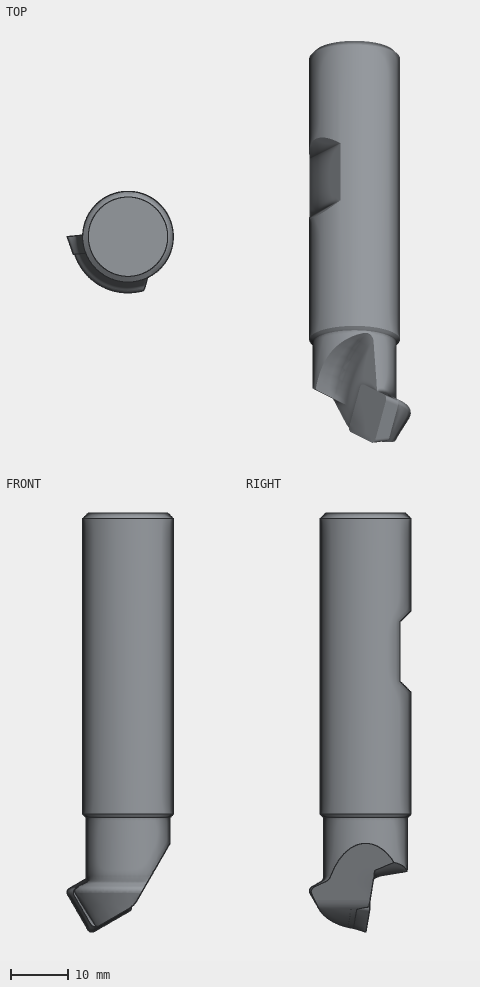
import cadquery as cq
import math

TOTAL_LENGTH = 73.2

SHANK_DIAMETER = 15.87
TOP_CHAMFER = 1.0
SHANK_END_Z = 20.0
SHANK_END_CHAMFER = 0.6
FLAT_DEPTH = 1.9
FLAT_LENGTH = 10.45
FLAT_CENTER_Z = 49.0

SLOPE_ANGLE = 30.0

NECK_DIAMETER = 14.67
RIM_SHARP_RADIUS = 10.13
RIM_SHARP_Z = 7.48
RIM_FILLET = 0.83
NECK_FILLET = 0.94

INSERT_SIZE = 8.7
INSERT_THICKNESS = 3.2
INSERT_RELIEF = 11.0
INSERT_CORNER_RADIUS = RIM_FILLET
INSERT_RAKE = 5.0
INSERT_REACH = 10.64

SLANT_START_Z = 15.5
END_FACE_DROP = 0.5
END_BLEND_RADIUS = 4.0

POCKET_FLOOR_TILT = 9.0
POCKET_FLOOR_DROP = 0.78
POCKET_FLOOR_FILLET = 1.6
POCKET_DEPTH = 12.0
POCKET_RADIUS = 17.0
POCKET_CENTER = (-3.78, -7.24)
RELIEF_HEIGHT = 4.0
RELIEF_DRAFT = 14.5

SEAT_RUNOUT = 2.0

BEYOND = 30.0
PICK_REACH = 0.1

shank_radius = SHANK_DIAMETER / 2
neck_radius = NECK_DIAMETER / 2
slope_sin = math.sin(math.radians(SLOPE_ANGLE))
slope_cos = math.cos(math.radians(SLOPE_ANGLE))
slope_tan = math.tan(math.radians(SLOPE_ANGLE))

corner_loss = INSERT_CORNER_RADIUS * (slope_sin + slope_cos - 1)
tip_x = -INSERT_REACH - corner_loss + INSERT_SIZE * slope_sin
tip_z = -corner_loss


def edge_at(x, z):
    """Selects the edge centered on the XZ plane at the given place."""
    return cq.selectors.BoxSelector(
        (x - PICK_REACH, -PICK_REACH, z - PICK_REACH),
        (x + PICK_REACH, PICK_REACH, z + PICK_REACH),
    )


def tilted_plane(tilt, drop):
    """Plane along the cutting edge, tilted inward about it and dropped along its own normal.

    Local X runs inward from the cutting edge and local Y runs down along it.
    """
    tilt_sin = math.sin(math.radians(tilt))
    tilt_cos = math.cos(math.radians(tilt))
    plane = cq.Plane(
        origin=(tip_x, 0, tip_z),
        xDir=(slope_cos * tilt_cos, tilt_sin, slope_sin * tilt_cos),
        normal=(-slope_cos * tilt_sin, tilt_cos, -slope_sin * tilt_sin),
    )
    plane.origin = plane.toWorldCoords((0, 0, -drop))
    return plane


rake_plane = tilted_plane(INSERT_RAKE, 0)
floor_plane = tilted_plane(POCKET_FLOOR_TILT, POCKET_FLOOR_DROP)


def make_insert():
    half = INSERT_SIZE / 2
    plate = (
        cq.Workplane(rake_plane)
        .center(half, -half)
        .rect(INSERT_SIZE, INSERT_SIZE)
        .extrude(-INSERT_THICKNESS, taper=INSERT_RELIEF)
    )
    along_sides = cq.selectors.ParallelDirSelector
    flank_edges = plate.edges(-(along_sides(rake_plane.xDir) + along_sides(rake_plane.yDir)))
    return flank_edges.fillet(INSERT_CORNER_RADIUS)


def make_shank():
    shank = (
        cq.Workplane("XY", origin=(0, 0, SHANK_END_Z))
        .circle(shank_radius)
        .extrude(TOTAL_LENGTH - SHANK_END_Z)
        .faces(">Z")
        .chamfer(TOP_CHAMFER)
        .faces("<Z")
        .chamfer(SHANK_END_CHAMFER)
    )
    half_length = FLAT_LENGTH / 2
    flat_y = shank_radius - FLAT_DEPTH
    wall_rise = 2 * FLAT_DEPTH
    flat = (
        cq.Workplane("YZ", origin=(0, 0, FLAT_CENTER_Z))
        .polyline([
            (flat_y, -half_length),
            (flat_y, half_length),
            (flat_y + wall_rise, half_length + wall_rise),
            (flat_y + wall_rise, -half_length - wall_rise),
        ])
        .close()
        .extrude(shank_radius, both=True)
    )
    return shank.cut(flat)


def make_neck_and_flange():
    neck_corner_z = RIM_SHARP_Z + (RIM_SHARP_RADIUS - neck_radius) * slope_tan
    tip_radius = RIM_SHARP_RADIUS - RIM_SHARP_Z * slope_tan
    body = (
        cq.Workplane("XZ")
        .moveTo(0, 0)
        .lineTo(tip_radius, 0)
        .lineTo(RIM_SHARP_RADIUS, RIM_SHARP_Z)
        .lineTo(neck_radius, neck_corner_z)
        .lineTo(neck_radius, SHANK_END_Z)
        .lineTo(0, SHANK_END_Z)
        .close()
        .revolve(360, (0, 0, 0), (0, 1, 0))
    )
    rim = edge_at(0, RIM_SHARP_Z)
    neck_corner = edge_at(0, neck_corner_z)
    return body.edges(rim).fillet(RIM_FILLET).edges(neck_corner).fillet(NECK_FILLET)


def make_end_clearance():
    end_z_at_axis = tip_z - tip_x * slope_tan + END_FACE_DROP
    slant_x_at_zero = neck_radius - SLANT_START_Z * slope_tan
    corner_x = (end_z_at_axis * slope_tan + slant_x_at_zero) / (1 - slope_tan**2)
    corner_z = end_z_at_axis + corner_x * slope_tan
    prism = (
        cq.Workplane("XZ")
        .moveTo(corner_x, corner_z)
        .lineTo(corner_x + BEYOND * slope_sin, corner_z + BEYOND * slope_cos)
        .lineTo(corner_x + BEYOND, corner_z - BEYOND)
        .lineTo(corner_x - BEYOND * slope_cos, corner_z - BEYOND * slope_sin)
        .close()
        .extrude(BEYOND, both=True)
    )
    return prism.edges(edge_at(corner_x, corner_z)).fillet(END_BLEND_RADIUS)


def make_chip_pocket():
    floor_side = cq.selectors.DirectionMinMaxSelector(floor_plane.zDir, False)
    return (
        cq.Workplane(floor_plane)
        .center(*POCKET_CENTER)
        .circle(POCKET_RADIUS)
        .extrude(POCKET_DEPTH)
        .faces(floor_side)
        .edges()
        .fillet(POCKET_FLOOR_FILLET)
    )


def make_pocket_relief():
    return (
        cq.Workplane(floor_plane)
        .moveTo(0, -RELIEF_HEIGHT)
        .lineTo(BEYOND, -RELIEF_HEIGHT)
        .lineTo(BEYOND, BEYOND)
        .lineTo(0, BEYOND)
        .close()
        .extrude(POCKET_DEPTH, taper=-RELIEF_DRAFT)
    )


def make_seat_clearance(insert):
    raised = insert.translate(rake_plane.yDir * -SEAT_RUNOUT)
    core = cq.Workplane("XY").circle(neck_radius).extrude(SHANK_END_Z)
    return raised.cut(core)


insert = make_insert()
holder = (
    make_neck_and_flange()
    .cut(make_seat_clearance(insert))
    .cut(make_end_clearance())
    .cut(make_chip_pocket())
    .cut(make_pocket_relief())
    .union(make_shank())
    .cut(insert)
)

result = cq.Compound.makeCompound([holder.val(), insert.val()])